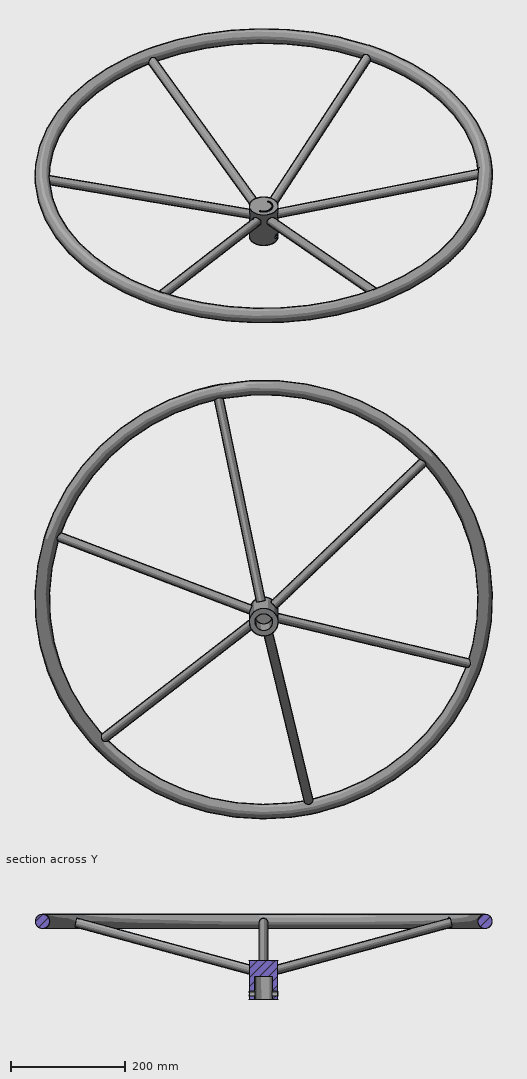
import cadquery as cq
import math

rim_outer_diameter = 800.0
rim_tube_diameter = 25.5
rim_center_radius = (rim_outer_diameter - rim_tube_diameter) / 2

overall_height = 149.5
hub_diameter = 50.0
hub_height = 69.0
hub_bottom = rim_tube_diameter / 2 - overall_height
hub_top = hub_bottom + hub_height

bore_diameter = 30.0
bore_depth = 40.0
pin_hole_diameter = 8.0
pin_hole_height = 10.0

groove_diameter = 30.0
groove_width = 1.5
groove_depth = 1.0

spoke_count = 6
spoke_diameter = 16.0
spoke_root_drop = 18.0
spoke_root_radius = 19.0
first_spoke_angle = 90.0


def make_rim():
    return cq.Solid.makeTorus(rim_center_radius, rim_tube_diameter / 2)


def make_bore():
    return cq.Workplane("XY").workplane(offset=hub_bottom).circle(bore_diameter / 2).extrude(bore_depth)


def make_pin_hole():
    return (
        cq.Workplane("YZ")
        .center(0, hub_bottom + pin_hole_height)
        .circle(pin_hole_diameter / 2)
        .extrude(hub_diameter / 2, both=True)
    )


def make_groove():
    inner_radius = (groove_diameter - groove_width) / 2
    outer_radius = (groove_diameter + groove_width) / 2
    return (
        cq.Workplane("XY")
        .workplane(offset=hub_top)
        .moveTo(0, -outer_radius)
        .threePointArc((outer_radius, 0), (0, outer_radius))
        .lineTo(0, inner_radius)
        .threePointArc((inner_radius, 0), (0, -inner_radius))
        .close()
        .extrude(-groove_depth)
    )


def make_hub():
    body = cq.Workplane("XY").workplane(offset=hub_bottom).circle(hub_diameter / 2).extrude(hub_height)
    return body.cut(make_bore()).cut(make_pin_hole()).cut(make_groove()).val()


def make_spoke(angle):
    outward = cq.Vector(math.cos(math.radians(angle)), math.sin(math.radians(angle)), 0)
    root = outward * spoke_root_radius + cq.Vector(0, 0, hub_top - spoke_root_drop)
    tip = outward * rim_center_radius
    axis = tip - root
    return cq.Solid.makeCylinder(spoke_diameter / 2, axis.Length, root, axis)


spokes = [make_spoke(first_spoke_angle + index * 360 / spoke_count) for index in range(spoke_count)]
wheel = make_rim().fuse(make_hub(), *spokes)
result = cq.Workplane(wheel).solids()